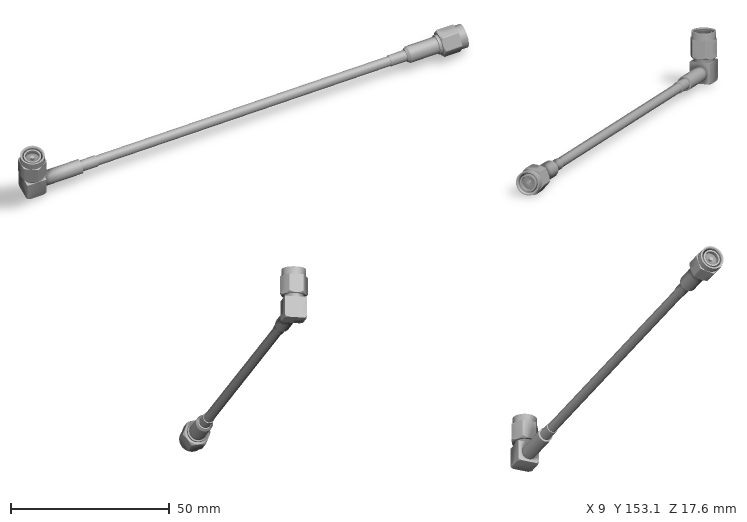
import cadquery as cq
import math


total_length = 153.1
hex_across_flats = 8.0
hex_across_corners = hex_across_flats / math.cos(math.radians(30))
hex_corner_diameter = 9.0
elbow_front = -hex_across_flats / 2
straight_tip = elbow_front + total_length
mating_height = 13.3

nose_length = 2.5
hex_length = 6.1
nut_length = nose_length + hex_length
nose_diameter = 7.8
hex_back_chamfer = 0.6
thread_bore = 6.5
thread_mouth_chamfer = 0.3
thread_depth = 4.6
straight_nut_turn = 10.0

shell_diameter = 5.5
shell_bore = 4.6
shell_recess = 0.5
insulator_recess = 1.8
pin_diameter = 1.27
pin_recess = 0.9

block_width = 7.0
block_depth = 6.6
block_bottom = -3.2
block_corner_chamfer = 0.6
block_top = 3.7
elbow_neck_diameter = 6.6
elbow_ferrule_diameter = 4.7
elbow_ferrule_end = 16.5

cable_diameter = 3.2
sleeve_diameter = 3.7
sleeve_length = 5.5

flange_diameter = 6.5
flange_length = 0.9
straight_ferrule_diameter = 5.5
straight_ferrule_length = 9.8
taper_end_diameter = 4.3
taper_length = 0.9


def disc(diameter, start, end):
    """Cylinder on the Z axis between two heights."""
    return cq.Workplane("XY").workplane(offset=start).circle(diameter / 2).extrude(end - start)


def rod(diameter, start, end):
    """Cylinder on the Y axis between two stations."""
    return cq.Workplane("XZ", origin=(0, start, 0)).circle(diameter / 2).extrude(start - end)


def coupling_end(turn):
    """Coupling nut, shell, insulator and pin, with the mating face at Z = 0 and the hexagon below it."""
    hexagon = (
        cq.Workplane("XY").workplane(offset=-nut_length).polygon(6, hex_across_corners).extrude(hex_length)
    )
    trim = disc(hex_corner_diameter, -nut_length, -nose_length).faces("<Z").chamfer(hex_back_chamfer)
    nut = hexagon.intersect(trim).union(disc(nose_diameter, -nose_length, 0))
    nut = nut.cut(disc(thread_bore, -thread_depth, 0))
    nut = nut.faces(">Z").edges(cq.selectors.RadiusNthSelector(0)).chamfer(thread_mouth_chamfer)
    shell = disc(shell_diameter, -thread_depth, -shell_recess)
    shell = shell.cut(disc(shell_bore, -insulator_recess, -shell_recess))
    pin = disc(pin_diameter, -insulator_recess, -pin_recess)
    return nut.union(shell).union(pin).rotate((0, 0, 0), (0, 0, 1), turn)


def make_elbow_connector():
    """Right-angle connector: square block, upright coupling nut and the ferrule that meets the cable."""
    block = cq.Workplane("XY").workplane(offset=block_bottom).rect(block_width, block_depth)
    block = block.extrude(block_top - block_bottom)
    trim = disc(math.hypot(block_width, block_depth), block_bottom, block_top)
    block = block.intersect(trim.faces("<Z").chamfer(block_corner_chamfer))
    neck = disc(elbow_neck_diameter, block_top, mating_height - nut_length)
    nut = coupling_end(0).translate((0, 0, mating_height))
    ferrule = rod(elbow_ferrule_diameter, 0, elbow_ferrule_end)
    return block.union(neck).union(nut).union(ferrule)


def make_cable_with_straight_connector():
    """Cable with a sleeve at each end, running into the straight connector."""
    flange_start = straight_tip - nut_length - flange_length
    ferrule_start = flange_start - straight_ferrule_length
    cable_end = ferrule_start - taper_length

    taper_step = (straight_ferrule_diameter - taper_end_diameter) / 2
    ferrule = rod(straight_ferrule_diameter, cable_end, flange_start)
    ferrule = ferrule.faces("<Y").chamfer(taper_length, taper_step)

    body = rod(cable_diameter, elbow_ferrule_end, cable_end)
    body = body.union(rod(sleeve_diameter, elbow_ferrule_end, elbow_ferrule_end + sleeve_length))
    body = body.union(rod(sleeve_diameter, cable_end - sleeve_length, cable_end))
    body = body.union(ferrule)
    body = body.union(rod(flange_diameter, flange_start, straight_tip - nut_length))

    nut = coupling_end(-straight_nut_turn).rotate((0, 0, 0), (1, 0, 0), -90)
    return body.union(nut.translate((0, straight_tip, 0)))


elbow_connector = make_elbow_connector()
cable_with_straight_connector = make_cable_with_straight_connector()

result = cq.Compound.makeCompound([elbow_connector.val(), cable_with_straight_connector.val()])